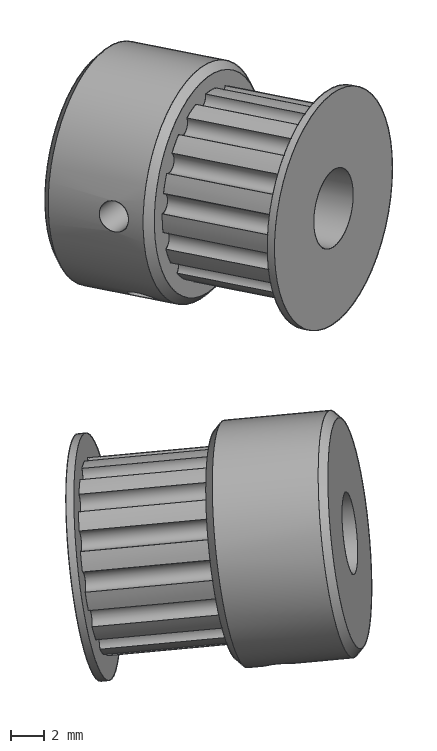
import cadquery as cq

outer_diameter = 15.0
bore_diameter = 5.0
hub_length = 7.5
hub_chamfer = 0.5
barrel_diameter = 12.0
barrel_length = 8.0
flange_thickness = 0.5

groove_count = 15
groove_radius = 0.63
groove_pitch_angle = 360.0 / groove_count
first_groove_angle = 7.35

screw_hole_diameter = 2.0
screw_hole_x = 5.0
screw_hole_angles = (0.0, -60.0)

barrel_end = hub_length + barrel_length


def disc(diameter, start_x, length):
    """Solid cylinder about the X axis."""
    return cq.Workplane("YZ", origin=(start_x, 0, 0)).circle(diameter / 2).extrude(length)


def turn_from_front(body, angle):
    """Turn a body about the X axis, by an angle measured from -Y toward +Z."""
    return body.rotate((0, 0, 0), (1, 0, 0), -angle)


def make_groove_cutter():
    """Round bar along the barrel, centred on its rim on the -Y side."""
    return (
        cq.Workplane("YZ", origin=(hub_length, -barrel_diameter / 2, 0))
        .circle(groove_radius)
        .extrude(barrel_length)
    )


def make_hub():
    return disc(outer_diameter, 0, hub_length).edges().chamfer(hub_chamfer)


def make_barrel():
    barrel = disc(barrel_diameter, hub_length, barrel_length)
    cutter = make_groove_cutter()
    for index in range(groove_count):
        angle = first_groove_angle + index * groove_pitch_angle
        barrel = barrel.cut(turn_from_front(cutter, angle))
    return barrel


def make_screw_hole():
    """Cylinder on the -Y side, from the X axis out through the hub surface."""
    return (
        cq.Workplane("XZ", origin=(screw_hole_x, 0, 0))
        .circle(screw_hole_diameter / 2)
        .extrude(outer_diameter)
    )


flange = disc(outer_diameter, barrel_end, flange_thickness)
bore = disc(bore_diameter, 0, barrel_end + flange_thickness)

pulley = make_hub().union(make_barrel()).union(flange).cut(bore)
for hole_angle in screw_hole_angles:
    pulley = pulley.cut(turn_from_front(make_screw_hole(), hole_angle))

result = pulley